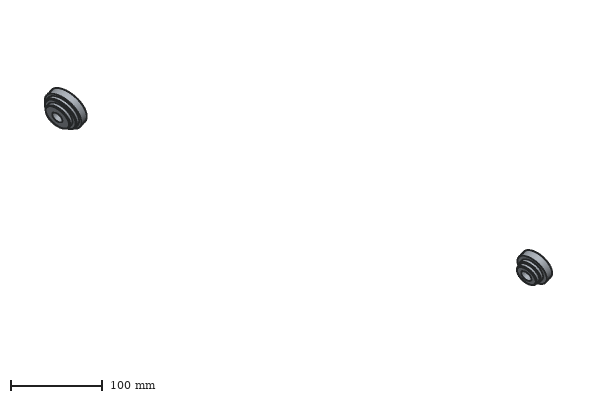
import cadquery as cq

overall_length = 583.0
overall_depth = 155.5

bore_diameter = 14.0
roller_width = 20.5
flange_width = 10.0
shoulder_width = 5.0
edge_chamfer = 1.0

large_flange_diameter = 50.0
large_shoulder_diameter = 44.0
large_hub_diameter = 34.0
small_flange_diameter = 40.0
small_shoulder_diameter = 30.5
small_hub_diameter = 27.5

axis_spacing = overall_length - (large_flange_diameter + small_flange_diameter) / 2
back_offset = overall_depth - roller_width


def disc(diameter, width, back_y):
    """Cylinder on the Y axis that runs from back_y toward -Y."""
    return cq.Workplane("XZ", origin=(0, back_y, 0)).circle(diameter / 2).extrude(width)


def stepped_roller(flange_diameter, shoulder_diameter, hub_diameter):
    """Bored roller with its back face at Y = 0 and its hub toward -Y."""
    hub_width = roller_width - flange_width - shoulder_width
    flange = disc(flange_diameter, flange_width, 0)
    shoulder = disc(shoulder_diameter, shoulder_width, -flange_width)
    hub = disc(hub_diameter, hub_width, -flange_width - shoulder_width)

    shoulder = shoulder.faces("<Y").chamfer(edge_chamfer)
    hub = hub.faces("<Y").chamfer(edge_chamfer)

    bore = disc(bore_diameter, roller_width, 0)
    return flange.union(shoulder).union(hub).cut(bore)


large_roller = stepped_roller(large_flange_diameter, large_shoulder_diameter, large_hub_diameter)

small_roller = stepped_roller(small_flange_diameter, small_shoulder_diameter, small_hub_diameter)
small_roller = small_roller.translate((axis_spacing, back_offset, 0))

result = cq.Compound.makeCompound([large_roller.val(), small_roller.val()])